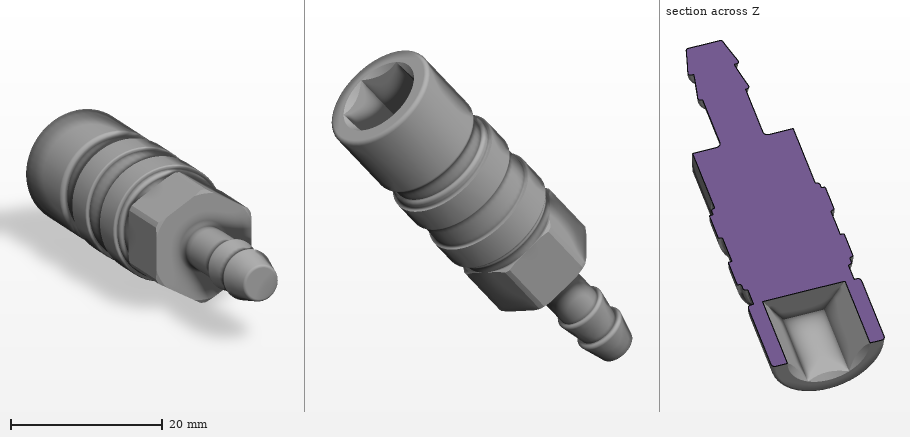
import cadquery as cq
import math

total_length = 54.8

head_diameter = 15.8
head_length = 10.95
head_round = 0.55

neck_diameter = 14.0
collar_diameter = 15.1
collar_start = 13.4
collar_end = 28.0
collar_round = 0.5

band_diameter = 16.15
band_width = 4.1
band_starts = (14.65, 22.9)
band_round = 0.2
band_root_round = 0.2

nut_flats = 14.0
nut_corner_diameter = 15.8
nut_start = 29.3
nut_end = 37.7
nut_face_diameter = 14.8
nut_chamfer_length = 0.2

stem_diameter = 6.0
stem_root_round = 0.6

barb_starts = (45.85, 50.3)
barb_peak_diameter = 7.3
barb_end_diameters = (5.55, 5.0)
barb_round = 0.4
tip_round = 0.4

socket_corner_diameter = 11.4
socket_depth = 10.95
socket_mouth_angle = 45.0


def cylinder(start, end, diameter):
    """Round section along the part axis."""
    return cq.Workplane("YZ", origin=(start, 0, 0)).circle(diameter / 2).extrude(end - start)


def cone(start, end, start_diameter, end_diameter):
    """Tapered round section along the part axis."""
    solid = cq.Solid.makeCone(
        start_diameter / 2, end_diameter / 2, end - start, cq.Vector(start, 0, 0), cq.Vector(1, 0, 0)
    )
    return cq.Workplane(obj=solid)


def hexagon(start, end, corner_diameter, turn):
    """Hexagonal prism along the part axis; turn is its rotation about X in degrees."""
    prism = cq.Workplane("YZ", origin=(start, 0, 0)).polygon(6, corner_diameter).extrude(end - start)
    return prism.rotate((0, 0, 0), (1, 0, 0), turn)


def root_fillet(shoulder, diameter, radius, side):
    """Concave ring between a cylinder and a shoulder; side is +1 or -1, the way the shoulder faces."""
    base = diameter / 2
    bulge = radius * (1 - math.sqrt(0.5))
    profile = (
        cq.Workplane("XY")
        .moveTo(shoulder + side * radius, base)
        .threePointArc((shoulder + side * bulge, base + bulge), (shoulder, base + radius))
        .lineTo(shoulder, base)
        .close()
    )
    return profile.revolve(360, (0, 0, 0), (1, 0, 0))


def sleeve():
    """Socket head, neck, collar and the two raised bands."""
    head = cylinder(0, head_length, head_diameter).faces("<X or >X").edges().fillet(head_round)
    neck = cylinder(head_length / 2, nut_start + nut_chamfer_length, neck_diameter)
    collar = cylinder(collar_start, collar_end, collar_diameter)
    collar = collar.faces("<X or >X").edges().fillet(collar_round)
    body = head.union(neck).union(collar)
    for start in band_starts:
        band = cylinder(start, start + band_width, band_diameter).faces(">X").edges().fillet(band_round)
        body = body.union(band).union(root_fillet(start, collar_diameter, band_root_round, -1))
    return body


def nut():
    """Hexagonal nut with flats facing +Y and -Y, turned corners and coned ends."""
    corner_to_corner = nut_flats / math.cos(math.pi / 6)
    prism = hexagon(nut_start, nut_end, corner_to_corner, turn=90)
    envelope = cylinder(nut_start, nut_end, nut_corner_diameter)
    face_drop = (nut_corner_diameter - nut_face_diameter) / 2
    envelope = envelope.faces("<X").chamfer(nut_chamfer_length, face_drop)
    envelope = envelope.faces(">X").chamfer(nut_chamfer_length, face_drop)
    return prism.intersect(envelope)


def hose_tail():
    """Stem with two barbs, each tapering towards the free end."""
    tail = cylinder(nut_end, barb_starts[0] + barb_round, stem_diameter)
    tail = tail.union(root_fillet(nut_end, stem_diameter, stem_root_round, 1))
    barb_ends = (barb_starts[1] + barb_round, total_length)
    for start, end, end_diameter in zip(barb_starts, barb_ends, barb_end_diameters):
        barb = cone(start, end, barb_peak_diameter, end_diameter).edges("<X").fillet(barb_round)
        if end == total_length:
            barb = barb.edges(">X").fillet(tip_round)
        tail = tail.union(barb)
    return tail


def socket():
    """Blind hexagonal socket with a countersunk mouth."""
    cone_length = socket_corner_diameter / 2 / math.tan(math.radians(socket_mouth_angle))
    mouth = cone(0, cone_length, socket_corner_diameter, 0)
    return hexagon(0, socket_depth, socket_corner_diameter, turn=0).union(mouth)


result = sleeve().union(nut()).union(hose_tail()).cut(socket())